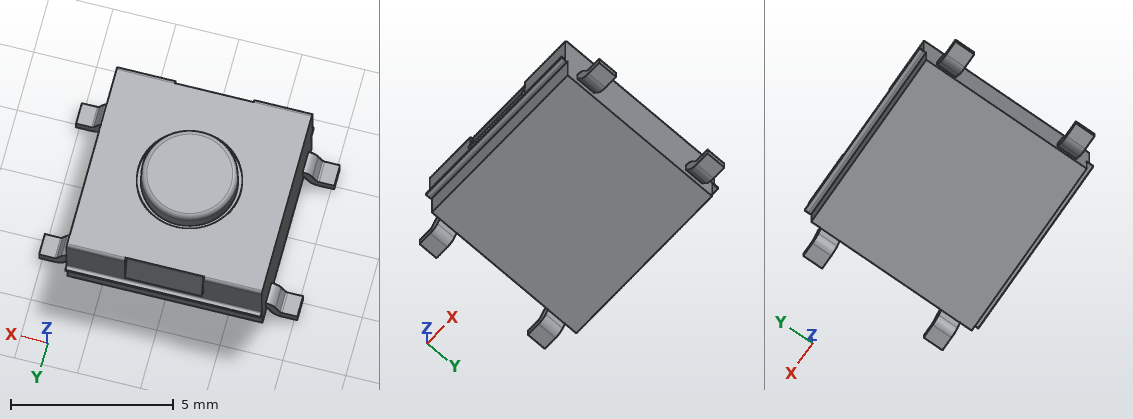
import cadquery as cq
import math

overall_length = 8.2
overall_width = 6.5
overall_height = 3.2

body_length = 6.2
cover_width = 6.2
sheet = 0.1
base_width = cover_width - 2 * sheet
body_bottom = 0.115
cover_top = 2.71
cover_edge_radius = sheet
flange_bottom = 1.1
flange_top = flange_bottom + sheet
flange_inner_radius = 0.025
flange_outer_radius = flange_inner_radius + sheet

button_base_diameter = 3.0
button_taper = 2.0
button_edge_radius = 0.16
opening_diameter = 3.25
opening_floor = cover_top - sheet

slot_length = 2.5
slot_bottom = 1.59
tab_length = 2.435
tab_top = cover_top - cover_edge_radius
tab_end_y = 3.21

pin_width = 0.705
pin_spacing = 4.5
pin_thickness = 0.3
pin_top = 0.77
pin_bend_angle = math.radians(60)
pin_inner_radius = 0.07
pin_outer_radius = pin_inner_radius + pin_thickness
foot_length = 0.49
pin_embedding = 0.16


def both_sides(solid, mirror_plane):
    """The solid together with its mirror image."""
    return solid.union(solid.mirror(mirror_plane))


def make_body():
    """Base block with the cover, its rounded top edges and its bottom flanges."""
    base = cq.Workplane("XY").workplane(offset=body_bottom).box(
        body_length, base_width, flange_top - body_bottom, centered=(True, True, False)
    )
    cover = cq.Workplane("XY").workplane(offset=flange_top).box(
        body_length, cover_width, cover_top - flange_top, centered=(True, True, False)
    )
    cover = cover.edges("|X and >Z").fillet(cover_edge_radius)
    return base.union(cover).union(both_sides(make_flange(), "XZ"))


def make_flange():
    """Sheet bent from the +Y side of the cover into a horizontal flange."""
    inner_y = base_width / 2
    outer_y = cover_width / 2
    bend_y = outer_y + flange_inner_radius
    bend_z = flange_top + flange_inner_radius
    return (
        cq.Workplane("YZ")
        .moveTo(inner_y - sheet, bend_z)
        .lineTo(outer_y, bend_z)
        .radiusArc((bend_y, flange_top), -flange_inner_radius)
        .lineTo(overall_width / 2, flange_top)
        .lineTo(overall_width / 2, flange_bottom)
        .lineTo(bend_y, flange_bottom)
        .radiusArc((inner_y, bend_z), flange_outer_radius)
        .lineTo(inner_y - sheet, bend_z)
        .close()
        .extrude(body_length / 2, both=True)
    )


def make_slot():
    """Cutter that removes the +Y cover sheet around a tab."""
    return cq.Workplane("XY").box(
        slot_length, sheet, cover_top - slot_bottom, centered=(True, False, False)
    ).translate((0, base_width / 2, slot_bottom))


def make_tab():
    """Tab on the +Y side, leaning outwards towards its free lower end."""
    root_y = base_width / 2
    lean = math.atan2(tab_end_y - root_y, tab_top - slot_bottom)
    thickness_y = sheet / math.cos(lean)
    return (
        cq.Workplane("YZ")
        .moveTo(root_y - thickness_y, tab_top)
        .lineTo(root_y, tab_top)
        .lineTo(tab_end_y, slot_bottom)
        .lineTo(tab_end_y - thickness_y, slot_bottom)
        .close()
        .extrude(tab_length / 2, both=True)
    )


def make_opening():
    """Cutter for the round opening, as deep as the cover sheet."""
    return cq.Workplane("XY").workplane(offset=opening_floor).circle(opening_diameter / 2).extrude(sheet)


def make_button():
    """Button narrowing upwards from the floor of the opening, with a rounded top edge."""
    button = (
        cq.Workplane("XY")
        .workplane(offset=opening_floor)
        .circle(button_base_diameter / 2)
        .extrude(overall_height - opening_floor, taper=button_taper)
    )
    return button.faces(">Z").edges().fillet(button_edge_radius)


def make_pin():
    """Pin on the +X side: flat foot, sloped riser and a bend into the body."""
    sine = math.sin(pin_bend_angle)
    cosine = math.cos(pin_bend_angle)
    foot_end = overall_length / 2
    inside_x = body_length / 2 - pin_embedding

    foot_x = foot_end - foot_length
    foot_z = pin_thickness + pin_inner_radius
    body_z = pin_top - pin_outer_radius
    radius_sum = pin_inner_radius + pin_outer_radius
    riser = (body_z - foot_z + radius_sum * cosine) / sine
    body_x = foot_x - radius_sum * sine - riser * cosine

    def on_foot_bend(radius):
        return (foot_x - radius * sine, foot_z - radius * cosine)

    def on_body_bend(radius):
        return (body_x + radius * sine, body_z + radius * cosine)

    profile = (
        cq.Workplane("XZ")
        .moveTo(foot_end, 0)
        .lineTo(foot_end, pin_thickness)
        .lineTo(foot_x, pin_thickness)
        .radiusArc(on_foot_bend(pin_inner_radius), pin_inner_radius)
        .lineTo(*on_body_bend(pin_outer_radius))
        .radiusArc((body_x, pin_top), -pin_outer_radius)
        .lineTo(inside_x, pin_top)
        .lineTo(inside_x, pin_top - pin_thickness)
        .lineTo(body_x, pin_top - pin_thickness)
        .radiusArc(on_body_bend(pin_inner_radius), pin_inner_radius)
        .lineTo(*on_foot_bend(pin_outer_radius))
        .radiusArc((foot_x, 0), -pin_outer_radius)
        .close()
    )
    return profile.extrude(pin_width / 2, both=True)


body = make_body().cut(both_sides(make_slot(), "XZ")).cut(make_opening())
result = body.union(both_sides(make_tab(), "XZ")).union(make_button())

pin_pair = both_sides(make_pin(), "YZ")
for side in (-1, 1):
    result = result.union(pin_pair.translate((0, side * pin_spacing / 2, 0)))